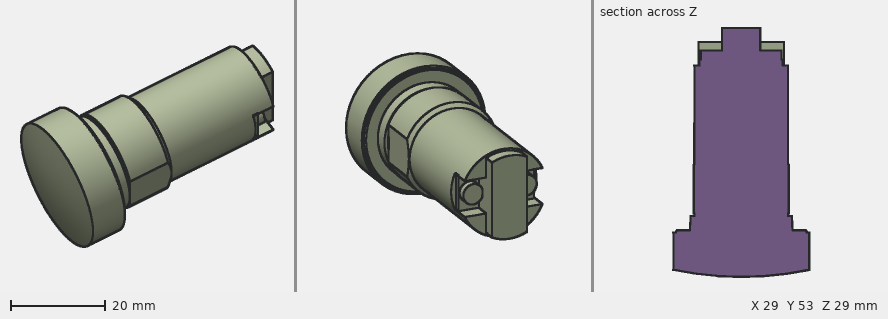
import cadquery as cq
import math


dome_height = 1.5
cap_rim_height = 0.5
cap_back = 10.0
collar_back = 13.0
hub_front = 13.5
hub_back = 24.0
hub_chamfer = 1.0
ledge_front = 45.0
slot_floor = 46.3
pin_end = 48.2
barrel_back = 50.0
tab_end = 53.0

cap_radius = 14.5
cap_step_width = 0.5
cap_step_radius = cap_radius - cap_step_width
cap_rim_draft = 30.0
cap_back_radius = cap_step_radius - cap_rim_height * math.tan(math.radians(cap_rim_draft))
collar_front_radius = 10.95
collar_back_radius = 10.8
barrel_radius = 10.0
hub_radius = 11.0
tab_radius = 9.5
pin_radius = 2.32

hub_across_flats = 20.26
slot_width = 8.2
tab_width = slot_width
ledge_offset = 8.88
pin_offset = 6.3


def dome_radius():
    """Sphere radius that rises by the dome height across the cap."""
    return (cap_radius**2 + dome_height**2) / (2 * dome_height)


def make_turned_body():
    """Cap with stepped rear rim, tapered collar, groove, hub and barrel as one revolved profile."""
    profile = (
        cq.Workplane("XY")
        .moveTo(0, 0)
        .radiusArc((cap_radius, dome_height), -dome_radius())
        .lineTo(cap_radius, cap_back - cap_rim_height)
        .lineTo(cap_step_radius, cap_back - cap_rim_height)
        .lineTo(cap_back_radius, cap_back)
        .lineTo(collar_front_radius, cap_back)
        .lineTo(collar_back_radius, collar_back)
        .lineTo(barrel_radius, collar_back)
        .lineTo(barrel_radius, barrel_back)
        .lineTo(0, barrel_back)
        .close()
    )
    return profile.revolve(360, (0, 0, 0), (0, 1, 0))


def cylinder_along_y(radius, start, end, x=0.0):
    """Solid cylinder between two stations, shifted sideways by x."""
    base = cq.Vector(x, start, 0)
    axis = cq.Vector(0, 1, 0)
    return cq.Workplane(cq.Solid.makeCylinder(radius, end - start, base, axis))


def box_along_y(x_size, z_size, start, end, x=0.0):
    """Box between two stations, centred on the axis in Z and on x in X."""
    box = cq.Workplane("XY").box(x_size, end - start, z_size)
    return box.translate((x, (start + end) / 2, 0))


def make_hub():
    """Hub with a chamfered rear edge and two wrench flats facing X."""
    hub = cylinder_along_y(hub_radius, hub_front, hub_back).faces(">Y").chamfer(hub_chamfer)
    return hub.intersect(box_along_y(hub_across_flats, 2 * hub_radius, hub_front, hub_back))


def make_tab():
    """Flat-sided tongue left standing between the slots and past the barrel."""
    tab = cylinder_along_y(tab_radius, slot_floor, tab_end)
    return tab.intersect(box_along_y(tab_width, 2 * tab_radius, slot_floor, tab_end))


def cut_side_slot(body, side):
    """Slot in one side of the barrel, with a flat ledge in front of its floor."""
    depth = barrel_radius - tab_width / 2
    slot_center = side * (tab_width + depth) / 2
    slot = box_along_y(depth, slot_width, slot_floor, barrel_back, slot_center)
    ledge_depth = barrel_radius - ledge_offset
    ledge_center = side * (ledge_offset + ledge_depth / 2)
    ledge = box_along_y(ledge_depth, slot_width, ledge_front, slot_floor, ledge_center)
    return body.cut(slot).cut(ledge)


def make_pin(side):
    """Short pin standing on the floor of one slot."""
    return cylinder_along_y(pin_radius, slot_floor, pin_end, side * pin_offset)


result = make_turned_body().union(make_hub()).union(make_tab())
for side in (-1, 1):
    result = cut_side_slot(result, side)
    result = result.union(make_pin(side))